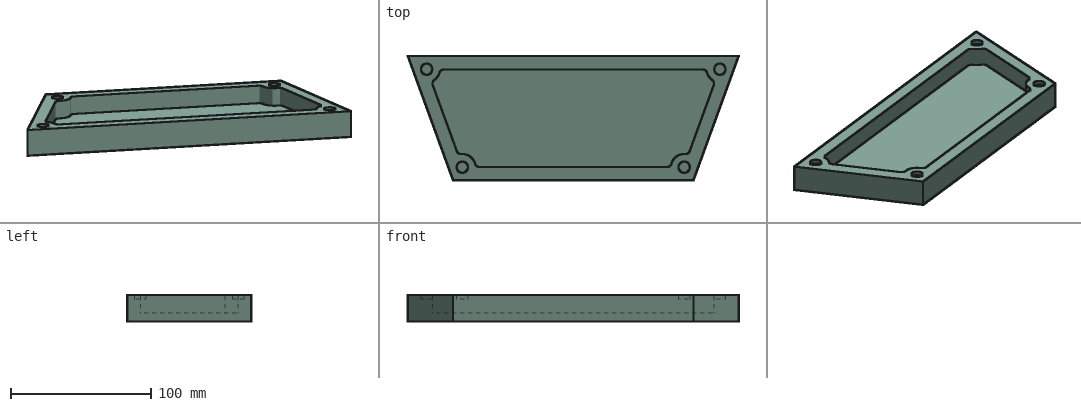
import cadquery as cq
import math

length = 236.0
width = 88.7
height = 19.0
side_angle = 20.0

wall = 9.7
pocket_depth = 13.0
corner_radius = 3.0

hole_diameter = 8.0
hole_depth = 3.0
hole_edge_distance = 9.5
land_radius = 9.5


def inset_corners(inset):
    """Corners of the outer trapezoid moved inward by the same distance on every side."""
    slope = math.tan(math.radians(side_angle))
    side_shift = inset / math.cos(math.radians(side_angle))
    back_y = width / 2 - inset
    front_y = -back_y
    back_x = length / 2 - inset * slope - side_shift
    front_x = back_x - (back_y - front_y) * slope
    return [(-front_x, front_y), (front_x, front_y), (back_x, back_y), (-back_x, back_y)]


def trapezoid_prism(inset, base_z, prism_height):
    outline = cq.Workplane("XY").workplane(offset=base_z).polyline(inset_corners(inset)).close()
    return outline.extrude(prism_height)


def corner_cylinders(radius, depth):
    """Cylinders at the four hole centers, reaching down from the top face."""
    centers = inset_corners(hole_edge_distance)
    base = cq.Workplane("XY").workplane(offset=height - depth)
    return base.pushPoints(centers).circle(radius).extrude(depth)


body = trapezoid_prism(0, 0, height)

pocket = trapezoid_prism(wall, height - pocket_depth, pocket_depth)
pocket = pocket.cut(corner_cylinders(land_radius, pocket_depth))
pocket = pocket.edges("|Z").fillet(corner_radius)

holes = corner_cylinders(hole_diameter / 2, hole_depth)

result = body.cut(pocket).cut(holes)